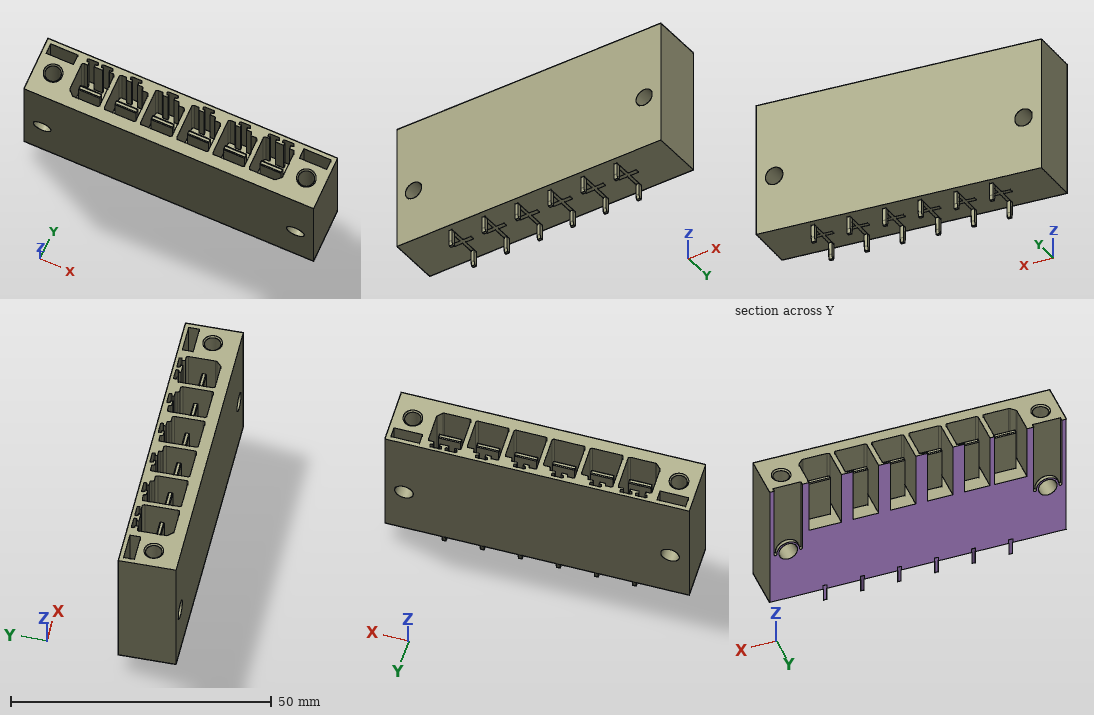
import cadquery as cq

LENGTH = 60.95
WIDTH = 11.4
HEIGHT = 28.3

CONTACT_COUNT = 6
PITCH = 7.6
contact_xs = [(i - (CONTACT_COUNT - 1) / 2) * PITCH for i in range(CONTACT_COUNT)]

BLADE_WIDTH = 4.45
BLADE_THICKNESS = 0.9
BLADE_TIP_DEPTH = 3.05
BLADE_TIP_CHAMFER = 0.2
LEG_SPACING = 7.7
LEG_WIDTH = 0.75
LEG_THICKNESS = BLADE_THICKNESS
LEG_LENGTH = 3.55
LEG_TAPER_HEIGHT = 0.9
LEG_TAPER_INSET = 0.2
BAR_HEIGHT = 0.9

POCKET_DEPTH = 12.2
POCKET_WIDTH = 6.65
POCKET_FRONT_Y = -3.3
POCKET_BACK_Y = 3.9
POCKET_CORNER_RADIUS = 0.4
END_CHAMFER = 1.1
END_OUTER_BACK_Y = 3.7
END_INNER_BACK_Y = 4.1
MIDDLE_LEFT_BACK_Y = 4.45
MIDDLE_RIGHT_BACK_Y = 3.2
MIDDLE_STEP_X = 1.8
STEP_CORNER_RADIUS = 0.25

T_STEM_WIDTH = 1.3
T_HEAD_WIDTH = 2.3
T_LIP_Y = 4.4
T_BACK_Y = 5.0
T_CORNER_RADIUS = 0.25
END_T_OFFSET = 1.5

MOUNT_X = 26.65
CROSS_HOLE_Z = 11.95
CROSS_HOLE_DIAMETER = 3.7
SLEEVE_DIAMETER = 4.75
SCREW_HOLE_Y = -0.5
SCREW_HOLE_DIAMETER = 3.2
SCREW_HOLE_CHAMFER = 0.3
SCREW_HOLE_CHAMFER_ANGLE = 45
NUT_SLOT_LENGTH = 5.7
NUT_SLOT_WIDTH = 2.15
NUT_SLOT_Y = 3.8


def box(x_size, y_size, z_low, z_high, x=0, y=0):
    """Upright box centred on (x, y) that spans z_low to z_high."""
    return (
        cq.Workplane("XY", origin=(x, y, z_low))
        .rect(x_size, y_size)
        .extrude(z_high - z_low)
    )


def t_slot(x):
    """T-slot cutter: a wide head and a narrow stem that reaches into the pocket."""
    floor = HEIGHT - POCKET_DEPTH
    head_y = (T_LIP_Y + T_BACK_Y) / 2
    head = box(T_HEAD_WIDTH, T_BACK_Y - T_LIP_Y, floor, HEIGHT, x, head_y)
    head = head.edges("|Z").fillet(T_CORNER_RADIUS)
    stem = box(T_STEM_WIDTH, head_y, floor, HEIGHT, x, head_y / 2)
    return head.union(stem)


def pocket_prism(outline):
    """Extrude a pocket outline from the pocket floor to the top of the housing."""
    floor = HEIGHT - POCKET_DEPTH
    return cq.Workplane("XY", origin=(0, 0, floor)).polyline(outline).close().extrude(POCKET_DEPTH)


def first_pocket():
    """Pocket at the -X end: chamfered outer front corner and two T-slots."""
    half = POCKET_WIDTH / 2
    prism = pocket_prism([
        (-half, POCKET_FRONT_Y + END_CHAMFER),
        (-half + END_CHAMFER, POCKET_FRONT_Y),
        (half, POCKET_FRONT_Y),
        (half, END_INNER_BACK_Y),
        (END_T_OFFSET, END_INNER_BACK_Y),
        (END_T_OFFSET, POCKET_BACK_Y),
        (-END_T_OFFSET, POCKET_BACK_Y),
        (-END_T_OFFSET, END_OUTER_BACK_Y),
        (-half, END_OUTER_BACK_Y),
    ])
    prism = prism.edges("|Z and (<X or >X or <Y)").fillet(POCKET_CORNER_RADIUS)
    return prism.union(t_slot(-END_T_OFFSET)).union(t_slot(END_T_OFFSET))


def last_pocket():
    """Pocket at the +X end: the mirror image of the first one."""
    return first_pocket().mirror("YZ")


def middle_pocket():
    """Pocket with a back wall stepped on both sides of a single T-slot."""
    half = POCKET_WIDTH / 2
    prism = pocket_prism([
        (-half, POCKET_FRONT_Y),
        (half, POCKET_FRONT_Y),
        (half, MIDDLE_RIGHT_BACK_Y),
        (MIDDLE_STEP_X, MIDDLE_RIGHT_BACK_Y),
        (MIDDLE_STEP_X, POCKET_BACK_Y),
        (-MIDDLE_STEP_X, POCKET_BACK_Y),
        (-MIDDLE_STEP_X, MIDDLE_LEFT_BACK_Y),
        (-half, MIDDLE_LEFT_BACK_Y),
    ])
    prism = prism.edges("|Z and (<X or >X)").fillet(POCKET_CORNER_RADIUS)
    step_zone = cq.selectors.BoxSelector(
        (-half + POCKET_CORNER_RADIUS * 2, 0, 0),
        (half - POCKET_CORNER_RADIUS * 2, WIDTH / 2, HEIGHT),
    )
    prism = prism.edges("|Z").edges(step_zone).fillet(STEP_CORNER_RADIUS)
    return prism.union(t_slot(0))


def cross_cylinder(x, y_low, y_high, diameter):
    """Cylinder along Y at x, level with the cross hole, that spans y_low to y_high."""
    return (
        cq.Workplane("XZ", origin=(x, y_high, CROSS_HOLE_Z))
        .circle(diameter / 2)
        .extrude(y_high - y_low)
    )


def screw_hole(x):
    """Chamfered hole from the top down to the level of the cross hole."""
    shaft = (
        cq.Workplane("XY", origin=(x, SCREW_HOLE_Y, CROSS_HOLE_Z))
        .circle(SCREW_HOLE_DIAMETER / 2)
        .extrude(HEIGHT - CROSS_HOLE_Z)
    )
    chamfer = (
        cq.Workplane("XY", origin=(x, SCREW_HOLE_Y, HEIGHT))
        .circle(SCREW_HOLE_DIAMETER / 2 + SCREW_HOLE_CHAMFER)
        .extrude(-SCREW_HOLE_CHAMFER, taper=SCREW_HOLE_CHAMFER_ANGLE)
    )
    return shaft.union(chamfer)


def nut_slot(x):
    """Slot from the top that ends in a round trough on either side of the sleeve."""
    y_low = NUT_SLOT_Y - NUT_SLOT_WIDTH / 2
    y_high = NUT_SLOT_Y + NUT_SLOT_WIDTH / 2
    slot = box(NUT_SLOT_LENGTH, NUT_SLOT_WIDTH, CROSS_HOLE_Z, HEIGHT, x, NUT_SLOT_Y)
    trough_width = (NUT_SLOT_LENGTH - SLEEVE_DIAMETER) / 2
    trough_offset = (SLEEVE_DIAMETER + trough_width) / 2
    for side in (-1, 1):
        trough = cross_cylinder(x + side * trough_offset, y_low, y_high, trough_width)
        slot = slot.union(trough)
    return slot


def mount_cutter(x):
    """Openings at one end: screw hole and nut slot down to the sleeve, and the cross hole."""
    sleeve = cross_cylinder(x, -WIDTH / 2, WIDTH / 2, SLEEVE_DIAMETER)
    cross_hole = cross_cylinder(x, -WIDTH / 2, WIDTH / 2, CROSS_HOLE_DIAMETER)
    return screw_hole(x).union(nut_slot(x)).cut(sleeve).union(cross_hole)


def contact_leg(x, y):
    """Solder leg below the housing, its tip tapered on the two Y faces."""
    half = LEG_THICKNESS / 2
    tip_half = half - LEG_TAPER_INSET
    taper_z = LEG_TAPER_HEIGHT - LEG_LENGTH
    return (
        cq.Workplane("YZ", origin=(x - LEG_WIDTH / 2, y, 0))
        .polyline([
            (-half, 0),
            (-half, taper_z),
            (-tip_half, -LEG_LENGTH),
            (tip_half, -LEG_LENGTH),
            (half, taper_z),
            (half, 0),
        ])
        .close()
        .extrude(LEG_WIDTH)
    )


def build_contact(x):
    """Contact: blade in the pocket, cross bar flush with the bottom, two legs."""
    blade = box(BLADE_WIDTH, BLADE_THICKNESS, 0, HEIGHT - BLADE_TIP_DEPTH, x)
    blade = blade.edges(">Z and |X").chamfer(BLADE_TIP_CHAMFER)
    bar = box(LEG_WIDTH, LEG_SPACING + LEG_THICKNESS, 0, BAR_HEIGHT, x)
    contact = blade.union(bar)
    for side in (-1, 1):
        contact = contact.union(contact_leg(x, side * LEG_SPACING / 2))
    return contact


def build_housing(contacts):
    """Housing block with the plug pockets, end fastenings and contact seats cut out."""
    housing = box(LENGTH, WIDTH, 0, HEIGHT)
    middle_count = CONTACT_COUNT - 2
    pockets = [first_pocket()] + [middle_pocket()] * middle_count + [last_pocket()]
    for x, pocket in zip(contact_xs, pockets):
        housing = housing.cut(pocket.translate((x, 0, 0)))
    for side in (-1, 1):
        housing = housing.cut(mount_cutter(side * MOUNT_X))
    for contact in contacts:
        housing = housing.cut(contact)
    return housing


contacts = [build_contact(x) for x in contact_xs]
housing = build_housing(contacts)

result = cq.Compound.makeCompound([housing.val(), *[contact.val() for contact in contacts]])